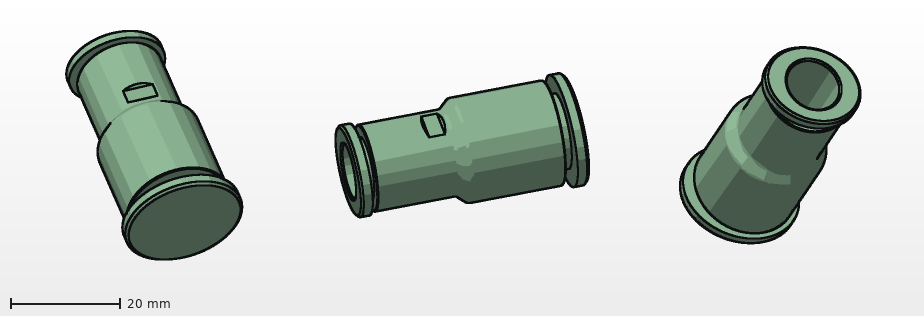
import cadquery as cq

overall_length = 42.8
small_flange_thickness = 2.15
small_body_start = 3.35
cone_start = 19.0
cone_end = 20.95
large_body_end = 38.7
large_flange_start = 40.55

small_body_diameter = 16.25
large_body_diameter = 19.7
small_neck_diameter = 11.75
large_neck_diameter = 14.12
body_edge_chamfer = 0.15
cone_blend_radius = 1.0

small_flange_width = 18.5
small_flange_height = 16.0
small_flange_chamfer = 0.43
large_flange_width = 22.5
large_flange_height = 19.5
large_flange_chamfer = 0.5

bore_diameter = 10.2
bore_depth = cone_start
bore_chamfer = 0.35

flat_start = 14.65
flat_length = 3
flat_depth = 0.5


def cylinder(start, end, diameter):
    return cq.Workplane("YZ", origin=(start, 0, 0)).circle(diameter / 2).extrude(end - start)


def elliptical_flange(start, end, width, height):
    return cq.Workplane("YZ", origin=(start, 0, 0)).ellipse(width / 2, height / 2).extrude(end - start)


def stepped_body():
    """Two cylinders joined by a cone, with blended cone edges and chamfered ends."""
    small_radius = small_body_diameter / 2
    large_radius = large_body_diameter / 2
    profile = [
        (small_body_start, 0),
        (small_body_start, small_radius),
        (cone_start, small_radius),
        (cone_end, large_radius),
        (large_body_end, large_radius),
        (large_body_end, 0),
    ]
    body = cq.Workplane("XY").polyline(profile).close().revolve(360, (0, 0, 0), (1, 0, 0))
    body = body.faces("<X or >X").edges().chamfer(body_edge_chamfer)
    cone_edges = cq.selectors.BoxSelector(
        (small_body_start + 2 * body_edge_chamfer, -large_radius, -large_radius),
        (large_body_end - 2 * body_edge_chamfer, large_radius, large_radius),
    )
    return body.edges("%CIRCLE").edges(cone_edges).fillet(cone_blend_radius)


def top_flat_cutter():
    """Trapezoid in the XZ plane whose ends slope outwards at 45 degrees."""
    body_top = small_body_diameter / 2
    floor_height = body_top - flat_depth
    flat_end = flat_start + flat_length
    profile = [
        (flat_start, floor_height),
        (flat_end, floor_height),
        (flat_end + flat_depth, body_top),
        (flat_start - flat_depth, body_top),
    ]
    return cq.Workplane("XZ").polyline(profile).close().extrude(body_top, both=True)


small_flange = elliptical_flange(0, small_flange_thickness, small_flange_width, small_flange_height)
small_flange = small_flange.faces("<X").chamfer(small_flange_chamfer)

large_flange = elliptical_flange(
    large_flange_start, overall_length, large_flange_width, large_flange_height
)
large_flange = large_flange.faces(">X").chamfer(large_flange_chamfer)

small_neck = cylinder(small_flange_thickness, small_body_start, small_neck_diameter)
large_neck = cylinder(large_body_end, large_flange_start, large_neck_diameter)

body = stepped_body().cut(top_flat_cutter())

bore = cylinder(0, bore_depth, bore_diameter)

result = small_flange.union(small_neck).union(body).union(large_neck).union(large_flange)
result = result.cut(bore)
result = result.faces("<X").edges("%CIRCLE").chamfer(bore_chamfer)